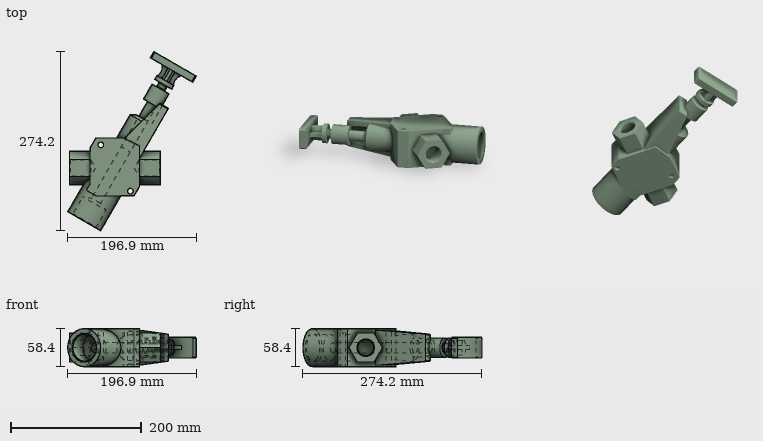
import cadquery as cq
import math

TILT = math.radians(30)
AXIS_PLANE = cq.Plane(
    origin=(0, 0, 0),
    xDir=(math.cos(TILT), -math.sin(TILT), 0),
    normal=(0, 0, 1),
)

BARREL_RADIUS = 29.22
BODY_HEIGHT = 2 * BARREL_RADIUS
BARREL_END = -94.0
BLOCK_HALF_WIDTH = 37.9
BLOCK_TOP = 46.0
BLOCK_BOTTOM = -42.8
CORNER_CUT_X = 8.5
CORNER_CUT_Y = CORNER_CUT_X / math.tan(TILT)
CORNER_FILLET = 2.0
SHOULDER_X = 12.3
SHOULDER_Y = 33.7
LUG_END = -51.3
MOUNTING_HOLE_RADIUS = 4.0
MOUNTING_HOLES = [(-21.7, 35.5), (23.5, -35.5)]

PORT_HALF_LENGTH = 69.7
HEX_ACROSS_FLATS = 44.5
PORT_RADIUS = 12.0
PORT_DEPTH = 33.0
PORT_CONE_LENGTH = 7.0
PORT_CHAMFER = 1.5

BONNET_RADIUS = 20.8
BONNET_END = 87.0
BONNET_CHAMFER_RADIAL = 8.0
BONNET_CHAMFER_AXIAL = BONNET_CHAMFER_RADIAL * math.tan(TILT)

BARREL_BORE_RADIUS = 20.5
BARREL_BORE_DEPTH = 31.3
BARREL_BORE_CHAMFER = 1.5
BARREL_CONE_LENGTH = 5.0

STEM_RADIUS = 8.0
STEM_START = 33.0
SLEEVE_RADIUS = 15.0
SLEEVE_START = 113.3
SLEEVE_END = 139.5
NECK_RADIUS = 7.0
NECK_CHAMFER = 1.0
HUB_START = 147.9
HUB_END = 154.5
BAR_START = 173.0
BAR_END = 184.0
BAR_LENGTH = 75.2
BAR_HEIGHT = 32.0
BAR_CHAMFER = 2.0
WEB_THICKNESS = 6.0
WEB_HUB_HALF_WIDTH = 14.5
WEB_WAIST_HALF_WIDTH = 12.5
WEB_WAIST_POSITION = 161.8
WEB_BAR_HALF_WIDTH = 17.5
CORE_HALF_HEIGHT = 11.2
CORE_TIP_HALF_WIDTH = 2.5
CORE_HALF_WIDTH = 6.3

BRACKET_SIDE = 25.2
BRACKET_END = 120.2
BRACKET_TIP_INNER = 10.1
BRACKET_ROOT_INNER = -10.1
BRACKET_ROOT = 46.5
BRACKET_BASE_HALF_HEIGHT = 29.0
BRACKET_TIP_HALF_HEIGHT = 20.8
BRACKET_END_CHAMFER = 1.5


def turned(profile):
    """Solid of revolution about the spindle axis from (radius, position) points."""
    return (
        cq.Workplane(AXIS_PLANE)
        .polyline(profile)
        .close()
        .revolve(360, (0, 0), (0, 1))
    )


def prism(plane, outline, height):
    """Prism of the given height, centred on the plane of its outline."""
    return cq.Workplane(plane).polyline(outline).close().extrude(height / 2, both=True)


def valve_block():
    """Block with cut corners and a lug that squares one corner to the spindle axis."""
    left, right = -BLOCK_HALF_WIDTH, BLOCK_HALF_WIDTH
    lug_corner = AXIS_PLANE.toWorldCoords((-BONNET_RADIUS, LUG_END, 0))
    lug_side_length = (left - lug_corner.x) / math.sin(TILT)
    lug_end_length = (lug_corner.y - BLOCK_BOTTOM) / math.sin(TILT)
    lug_tip = (lug_corner.x, lug_corner.y)
    lug_root = (left, lug_corner.y + lug_side_length * math.cos(TILT))
    bottom_cut = (right - CORNER_CUT_X, BLOCK_BOTTOM)
    top_cut = (left + CORNER_CUT_X, BLOCK_TOP)
    outline = [
        lug_tip,
        (lug_corner.x + lug_end_length * math.cos(TILT), BLOCK_BOTTOM),
        bottom_cut,
        (right, BLOCK_BOTTOM + CORNER_CUT_Y),
        (right, SHOULDER_Y),
        (SHOULDER_X, BLOCK_TOP),
        top_cut,
        (left, BLOCK_TOP - CORNER_CUT_Y),
        lug_root,
    ]
    block = prism("XY", outline, BODY_HEIGHT)
    for x, y in (lug_tip, lug_root, bottom_cut, top_cut):
        corner_edge = cq.selectors.NearestToPointSelector((x, y, 0))
        block = block.edges(corner_edge).fillet(CORNER_FILLET)
    return block


def side_ports():
    return (
        cq.Workplane("YZ")
        .polygon(6, HEX_ACROSS_FLATS / math.cos(math.pi / 6))
        .extrude(PORT_HALF_LENGTH, both=True)
    )


def port_bore(direction):
    """Chamfered blind bore with a conical bottom; direction is +1 or -1 along X."""
    mouth = PORT_HALF_LENGTH
    floor = mouth - PORT_DEPTH
    profile = [
        (direction * mouth, 0),
        (direction * mouth, PORT_RADIUS + PORT_CHAMFER),
        (direction * (mouth - PORT_CHAMFER), PORT_RADIUS),
        (direction * floor, PORT_RADIUS),
        (direction * (floor - PORT_CONE_LENGTH), 0),
    ]
    return cq.Workplane("XY").polyline(profile).close().revolve(360, (0, 0), (1, 0))


def barrel_and_bonnet():
    barrel = turned([(0, BARREL_END), (BARREL_RADIUS, BARREL_END), (BARREL_RADIUS, 0), (0, 0)])
    bonnet = turned(
        [
            (0, 0),
            (BONNET_RADIUS, 0),
            (BONNET_RADIUS, BONNET_END - BONNET_CHAMFER_AXIAL),
            (BONNET_RADIUS - BONNET_CHAMFER_RADIAL, BONNET_END),
            (0, BONNET_END),
        ]
    )
    return barrel.union(bonnet)


def main_bore():
    """Wide chamfered bore in the barrel, narrowing by a cone to the spindle's bore."""
    cone_start = BARREL_END + BARREL_BORE_DEPTH
    return turned(
        [
            (0, BARREL_END),
            (BARREL_BORE_RADIUS + BARREL_BORE_CHAMFER, BARREL_END),
            (BARREL_BORE_RADIUS, BARREL_END + BARREL_BORE_CHAMFER),
            (BARREL_BORE_RADIUS, cone_start),
            (STEM_RADIUS, cone_start + BARREL_CONE_LENGTH),
            (STEM_RADIUS, BONNET_END),
            (0, BONNET_END),
        ]
    )


def bracket():
    """Tapered arm beside the spindle, hollowed to clear the sleeve."""
    arm = prism(
        AXIS_PLANE,
        [
            (BRACKET_ROOT_INNER, BRACKET_ROOT),
            (BRACKET_ROOT_INNER, 0),
            (BRACKET_SIDE, 0),
            (BRACKET_SIDE, BRACKET_END),
            (BRACKET_TIP_INNER, BRACKET_END),
        ],
        BODY_HEIGHT,
    )
    shoulder = BRACKET_END - BRACKET_END_CHAMFER
    end_half_height = BRACKET_TIP_HALF_HEIGHT - BRACKET_END_CHAMFER
    side_plane = cq.Plane(origin=(0, 0, 0), xDir=AXIS_PLANE.yDir, normal=AXIS_PLANE.xDir)
    taper = prism(
        side_plane,
        [
            (0, BRACKET_BASE_HALF_HEIGHT),
            (shoulder, BRACKET_TIP_HALF_HEIGHT),
            (BRACKET_END, end_half_height),
            (BRACKET_END, -end_half_height),
            (shoulder, -BRACKET_TIP_HALF_HEIGHT),
            (0, -BRACKET_BASE_HALF_HEIGHT),
        ],
        4 * BRACKET_SIDE,
    )
    clearance = turned(
        [(0, BONNET_END), (SLEEVE_RADIUS, BONNET_END), (SLEEVE_RADIUS, BRACKET_END), (0, BRACKET_END)]
    )
    return arm.intersect(taper).cut(clearance)


def make_housing():
    housing = valve_block().union(side_ports()).union(barrel_and_bonnet()).union(bracket())
    housing = housing.cut(main_bore())
    for direction in (-1, 1):
        housing = housing.cut(port_bore(direction))
    mounting_holes = (
        cq.Workplane("XY")
        .pushPoints(MOUNTING_HOLES)
        .circle(MOUNTING_HOLE_RADIUS)
        .extrude(BODY_HEIGHT, both=True)
    )
    return housing.cut(mounting_holes)


def spindle_shaft():
    """Stem, sleeve, grooved neck and hub, turned about one axis."""
    return turned(
        [
            (0, STEM_START),
            (STEM_RADIUS, STEM_START),
            (STEM_RADIUS, SLEEVE_START),
            (SLEEVE_RADIUS, SLEEVE_START),
            (SLEEVE_RADIUS, SLEEVE_END),
            (NECK_RADIUS + NECK_CHAMFER, SLEEVE_END),
            (NECK_RADIUS, SLEEVE_END + NECK_CHAMFER),
            (NECK_RADIUS, HUB_START - NECK_CHAMFER),
            (NECK_RADIUS + NECK_CHAMFER, HUB_START),
            (SLEEVE_RADIUS, HUB_START),
            (SLEEVE_RADIUS, HUB_END),
            (0, HUB_END),
        ]
    )


def handle_web():
    """Flat web with concave sides between the hub and the handle bar."""
    return (
        cq.Workplane(AXIS_PLANE)
        .moveTo(-WEB_HUB_HALF_WIDTH, HUB_END)
        .lineTo(WEB_HUB_HALF_WIDTH, HUB_END)
        .threePointArc((WEB_WAIST_HALF_WIDTH, WEB_WAIST_POSITION), (WEB_BAR_HALF_WIDTH, BAR_START))
        .lineTo(-WEB_BAR_HALF_WIDTH, BAR_START)
        .threePointArc((-WEB_WAIST_HALF_WIDTH, WEB_WAIST_POSITION), (-WEB_HUB_HALF_WIDTH, HUB_END))
        .close()
        .extrude(WEB_THICKNESS / 2, both=True)
    )


def cross_section(position):
    """Workplane across the spindle axis: x across the axis, y along global Z."""
    plane = cq.Plane(
        origin=AXIS_PLANE.toWorldCoords((0, position, 0)),
        xDir=AXIS_PLANE.xDir,
        normal=-AXIS_PLANE.yDir,
    )
    return cq.Workplane(plane)


def handle_core():
    """Lens-shaped rib with flat tips, from the hub to the handle bar."""
    return (
        cross_section(BAR_START)
        .moveTo(CORE_TIP_HALF_WIDTH, -CORE_HALF_HEIGHT)
        .threePointArc((CORE_HALF_WIDTH, 0), (CORE_TIP_HALF_WIDTH, CORE_HALF_HEIGHT))
        .lineTo(-CORE_TIP_HALF_WIDTH, CORE_HALF_HEIGHT)
        .threePointArc((-CORE_HALF_WIDTH, 0), (-CORE_TIP_HALF_WIDTH, -CORE_HALF_HEIGHT))
        .close()
        .extrude(BAR_START - HUB_END)
    )


def handle_bar():
    """Rectangular bar with its four edges along the spindle chamfered."""
    half_length, half_height = BAR_LENGTH / 2, BAR_HEIGHT / 2
    inner_length, inner_height = half_length - BAR_CHAMFER, half_height - BAR_CHAMFER
    return (
        cross_section(BAR_END)
        .polyline(
            [
                (half_length, -inner_height),
                (half_length, inner_height),
                (inner_length, half_height),
                (-inner_length, half_height),
                (-half_length, inner_height),
                (-half_length, -inner_height),
                (-inner_length, -half_height),
                (inner_length, -half_height),
            ]
        )
        .close()
        .extrude(BAR_END - BAR_START)
    )


def make_spindle():
    return spindle_shaft().union(handle_bar()).union(handle_web()).union(handle_core())


housing = make_housing()
spindle = make_spindle()

result = cq.Compound.makeCompound([housing.val(), spindle.val()])